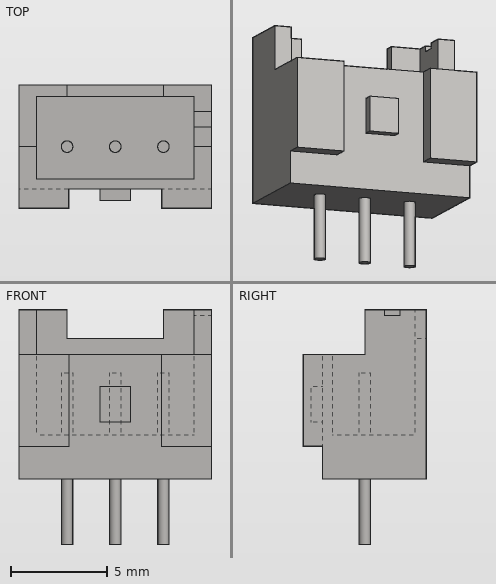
import cadquery as cq

WIDTH = 10.0
DEPTH = 6.4
HEIGHT = 8.8
BACK_Y = DEPTH / 2
FRONT_Y = -DEPTH / 2

PANEL_RECESS = 1.0
PANEL_Y = FRONT_Y + PANEL_RECESS
PAD_WIDTH = 2.6
PAD_BOTTOM = 1.7
FRONT_HEIGHT = 6.47

END_WALL = 0.91
BACK_WALL = 0.6
FRONT_WALL = 0.52
FLOOR_THICKNESS = 2.3

BACK_GAP_WIDTH = 5.0
BACK_GAP_DEPTH = 1.5

NOTCH_WIDTH = 0.8
NOTCH_DEPTH = 0.3
NOTCH_Y = 1.42

LATCH_WIDTH = 1.6
LATCH_PROJECTION = 0.6
LATCH_BOTTOM = 2.97
LATCH_TOP = 4.82

PIN_COUNT = 3
PIN_PITCH = 2.5
PIN_DIAMETER = 0.6
PIN_TAIL = 3.4
PIN_TOP = 5.5


def box(x_range, y_range, z_range):
    """Axis-aligned block spanning the given (low, high) ranges."""
    sides = [high - low for low, high in (x_range, y_range, z_range)]
    corner = (x_range[0], y_range[0], z_range[0])
    return cq.Workplane("XY").box(*sides, centered=False).translate(corner)


def centered(width):
    """Range of the given width, symmetric about zero."""
    return (-width / 2, width / 2)


def housing_block():
    """Tall rear half, lower front half, and the two front pads."""
    half_width = WIDTH / 2
    block = box(centered(WIDTH), (0, BACK_Y), (0, HEIGHT))
    block = block.union(box(centered(WIDTH), (PANEL_Y, 0), (0, FRONT_HEIGHT)))
    for left in (-half_width, half_width - PAD_WIDTH):
        pad = box((left, left + PAD_WIDTH), (FRONT_Y, PANEL_Y), (PAD_BOTTOM, FRONT_HEIGHT))
        block = block.union(pad)
    return block


def cavity():
    return box(
        centered(WIDTH - 2 * END_WALL),
        (PANEL_Y + FRONT_WALL, BACK_Y - BACK_WALL),
        (FLOOR_THICKNESS, HEIGHT),
    )


def back_gap():
    return box(
        centered(BACK_GAP_WIDTH),
        (BACK_Y - BACK_WALL, BACK_Y),
        (HEIGHT - BACK_GAP_DEPTH, HEIGHT),
    )


def polarity_notch():
    notch_y = (NOTCH_Y - NOTCH_WIDTH / 2, NOTCH_Y + NOTCH_WIDTH / 2)
    return box((WIDTH / 2 - END_WALL, WIDTH / 2), notch_y, (HEIGHT - NOTCH_DEPTH, HEIGHT))


def latch():
    return box(
        centered(LATCH_WIDTH),
        (PANEL_Y - LATCH_PROJECTION, PANEL_Y),
        (LATCH_BOTTOM, LATCH_TOP),
    )


def pins():
    first_x = -PIN_PITCH * (PIN_COUNT - 1) / 2
    centers = [(first_x + i * PIN_PITCH, 0) for i in range(PIN_COUNT)]
    return (
        cq.Workplane("XY", origin=(0, 0, -PIN_TAIL))
        .pushPoints(centers)
        .circle(PIN_DIAMETER / 2)
        .extrude(PIN_TAIL + PIN_TOP)
    )


housing = housing_block().cut(cavity()).cut(back_gap()).cut(polarity_notch())
result = housing.union(latch()).union(pins())